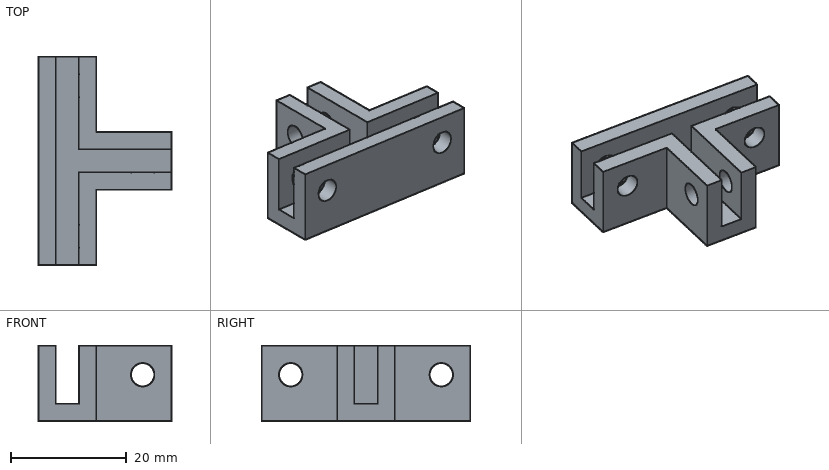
import cadquery as cq

bar_length = 36.0
reach = 23.0
height = 13.0
channel_width = 10.0
slot_width = 4.0
hole_diameter = 4.0

wall = (channel_width - slot_width) / 2
floor = wall
hole_inset = channel_width / 2
hole_z = height - hole_inset
bar_hole_y = bar_length / 2 - hole_inset
stem_hole_x = reach - hole_inset


def box_from(x_start, x_end, y_width, z_start):
    """Box centred on Y that runs from z_start up to the top face."""
    return (
        cq.Workplane("XY", origin=(x_start, 0, z_start))
        .box(x_end - x_start, y_width, height - z_start, centered=(False, True, False))
    )


body = box_from(0, channel_width, bar_length, 0)
body = body.union(box_from(0, reach, channel_width, 0))

bar_slot = box_from(wall, wall + slot_width, bar_length, floor)
stem_slot = box_from(wall, reach, slot_width, floor)
body = body.cut(bar_slot).cut(stem_slot)

bar_holes = (
    cq.Workplane("YZ")
    .pushPoints([(-bar_hole_y, hole_z), (bar_hole_y, hole_z)])
    .circle(hole_diameter / 2)
    .extrude(channel_width)
)

stem_hole = (
    cq.Workplane("XZ")
    .center(stem_hole_x, hole_z)
    .circle(hole_diameter / 2)
    .extrude(channel_width / 2, both=True)
)

result = body.cut(bar_holes).cut(stem_hole)